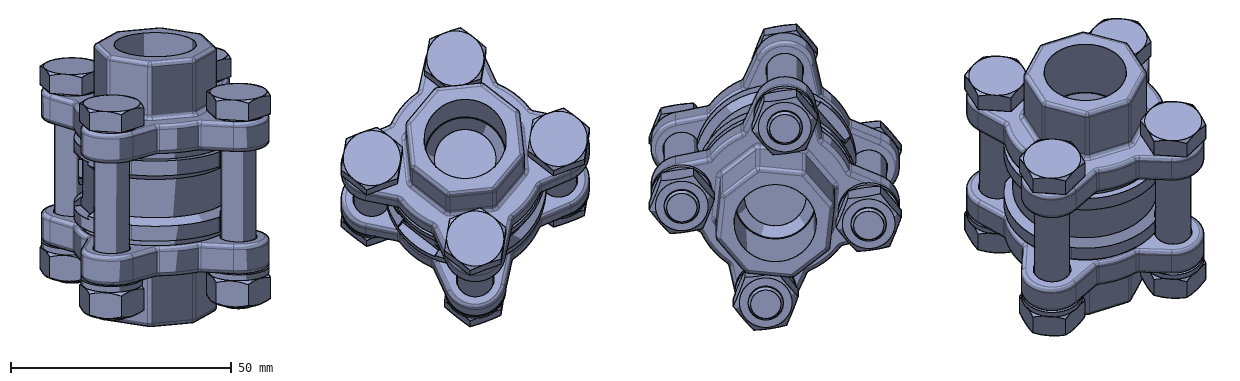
import cadquery as cq
import math


total_height = 63.0
octagon_flats = 25.95
octagon_edge_radius = 1.25
soft_edge = 1.0
plate_inner_z = 11.0
plate_thickness = 7.0
plate_outer_z = plate_inner_z + plate_thickness

disc_radius = 18.45
notch_offset = 5.0
lobe_radius = 7.0
bolt_spacing = 30.2
bolt_offset = bolt_spacing / 2

port_diameter = 18.65
port_depth = 15.0
port_cone_diameter = 18.3
port_floor_diameter = 14.0
port_cone_depth = 2.3

neck_diameter = 34.0
barrel_radius = 16.5
collar_radius = 18.45
collar_outer_z = 9.5
collar_inner_z = 6.0
barrel_half_height = 4.55
bolt_relief_diameter = 8.4
bolt_relief_edge_radius = 1.4
label_distance = 16.0
label_width = 10.8
label_height = 13.6

arrow_shaft_width = 2.0
arrow_head_width = 4.05
arrow_top_z = 3.6
arrow_shoulder_z = -0.6
arrow_tip_z = -2.65
arrow_relief = 1.0
arrow_angle = 27.5

shank_diameter = 8.0
plate_hole_diameter = 8.5
washer_hole_diameter = 8.4
hex_flats = 13.0
hex_slope = math.radians(30)
head_height = 4.8
head_face_diameter = 11.65
head_face_height = 0.55
washer_diameter = 14.0
washer_thickness = 1.4
nut_height = 6.7
nut_face_radius = 6.0
bolt_protrusion = 1.1
bolt_end_chamfer = 0.55

bolt_centres = [(x, y) for x in (-bolt_offset, bolt_offset) for y in (-bolt_offset, bolt_offset)]


def disc(diameter, z_low, z_high, centres=((0, 0),)):
    """Upright cylinder, or one at each of several centres."""
    plane = cq.Workplane("XY").workplane(offset=z_low)
    return plane.pushPoints(list(centres)).circle(diameter / 2).extrude(z_high - z_low)


def rotated(point, degrees):
    angle = math.radians(degrees)
    x, y = point
    return (
        x * math.cos(angle) - y * math.sin(angle),
        x * math.sin(angle) + y * math.cos(angle),
    )


def plate_outline(z):
    """Closed outline: disc arcs joined to the lobes by straight tangent flanks."""
    corner_before = (disc_radius * math.cos(math.asin(notch_offset / disc_radius)), -notch_offset)
    corner_after = (corner_before[0], notch_offset)

    dx = corner_after[0] - bolt_offset
    dy = corner_after[1] - bolt_offset
    touch_angle = math.atan2(dy, dx) + math.acos(lobe_radius / math.hypot(dx, dy))
    touch_x = bolt_offset + lobe_radius * math.cos(touch_angle)
    touch_y = bolt_offset + lobe_radius * math.sin(touch_angle)
    lobe_tip = bolt_offset + lobe_radius / math.sqrt(2)

    outline = cq.Workplane("XY").workplane(offset=z).moveTo(*corner_before)
    for turn in (0, 90, 180, 270):
        outline = (
            outline.threePointArc(rotated((disc_radius, 0), turn), rotated(corner_after, turn))
            .lineTo(*rotated((touch_x, touch_y), turn))
            .threePointArc(rotated((lobe_tip, lobe_tip), turn), rotated((touch_y, touch_x), turn))
        )
        if turn < 270:
            outline = outline.lineTo(*rotated(corner_before, turn + 90))
    return outline.close()


def make_end_piece():
    """Upper end piece: lobed plate, octagonal spigot and blind port."""
    plate = plate_outline(plate_inner_z).extrude(plate_thickness)
    notch_corners = cq.selectors.BoxSelector(
        (-disc_radius, -disc_radius, 0), (disc_radius, disc_radius, total_height)
    )
    notch_radius = math.hypot(disc_radius, 0.6)
    plate = plate.edges("|Z").edges(notch_corners).filter(
        lambda edge: math.hypot(edge.Center().x, edge.Center().y) < notch_radius
    ).fillet(soft_edge)
    plate = plate.faces("<Z or >Z").edges().fillet(soft_edge)

    top_z = total_height / 2
    octagon_corners = octagon_flats / math.cos(math.pi / 8)
    spigot = (
        cq.Workplane("XY", origin=(0, 0, plate_outer_z))
        .transformed(rotate=(0, 0, 22.5))
        .polygon(8, octagon_corners)
        .extrude(top_z - plate_outer_z)
        .edges("|Z")
        .fillet(octagon_edge_radius)
        .faces(">Z")
        .edges()
        .fillet(soft_edge)
    )
    piece = plate.union(spigot)
    root = cq.selectors.BoxSelector(
        (-disc_radius, -disc_radius, plate_outer_z - 0.05),
        (disc_radius, disc_radius, plate_outer_z + 0.05),
    )
    reach = octagon_corners / 2
    piece = piece.edges(root).filter(
        lambda edge: math.hypot(edge.Center().x, edge.Center().y) < reach
    ).fillet(soft_edge)

    port_floor_z = top_z - port_depth - port_cone_depth
    port = (
        cq.Workplane("XZ")
        .moveTo(0, port_floor_z)
        .lineTo(port_floor_diameter / 2, port_floor_z)
        .lineTo(port_cone_diameter / 2, top_z - port_depth)
        .lineTo(port_diameter / 2, top_z - port_depth)
        .lineTo(port_diameter / 2, top_z)
        .lineTo(0, top_z)
        .close()
        .revolve(360, (0, 0), (0, 1))
    )
    holes = disc(plate_hole_diameter, plate_inner_z, plate_outer_z, bolt_centres)
    return piece.cut(port).cut(holes)


def make_barrel():
    """Turned barrel with two collars, bolt reliefs, a flat label face and a flow arrow."""
    upper_profile = [
        (neck_diameter / 2, plate_inner_z),
        (neck_diameter / 2, collar_outer_z),
        (collar_radius, collar_outer_z),
        (collar_radius, collar_inner_z),
        (barrel_radius, barrel_half_height),
    ]
    lower_profile = [(radius, -z) for radius, z in reversed(upper_profile)]
    barrel = (
        cq.Workplane("XZ")
        .polyline([(0, plate_inner_z)] + upper_profile + lower_profile + [(0, -plate_inner_z)])
        .close()
        .revolve(360, (0, 0), (0, 1))
    )
    envelope = disc(2 * collar_radius, -plate_inner_z, plate_inner_z)
    envelope = envelope.cut(disc(bolt_relief_diameter, -plate_inner_z, plate_inner_z, bolt_centres))
    barrel = barrel.intersect(envelope.edges("|Z").fillet(bolt_relief_edge_radius))

    label_depth = collar_radius - label_distance
    label_pocket = cq.Workplane("XY").box(label_width, label_depth, label_height)
    barrel = barrel.cut(label_pocket.translate((0, -label_distance - label_depth / 2, 0)))
    return barrel.union(make_arrow())


def make_arrow():
    """Raised arrow on the barrel wall, pointing along the flow."""
    right_half = [
        (arrow_shaft_width / 2, arrow_top_z),
        (arrow_shaft_width / 2, arrow_shoulder_z),
        (arrow_head_width / 2, arrow_shoulder_z),
    ]
    left_half = [(-x, z) for x, z in reversed(right_half)]
    face_radius = barrel_radius + arrow_relief
    prism = (
        cq.Workplane("XZ", origin=(0, -label_distance, 0))
        .polyline(right_half + [(0, arrow_tip_z)] + left_half)
        .close()
        .extrude(face_radius - label_distance)
        .rotate((0, 0, 0), (0, 0, 1), -arrow_angle)
    )
    return prism.intersect(disc(2 * face_radius, arrow_tip_z, arrow_top_z))


def hexagon(z_low, z_high, face_radius, both_ends):
    """Hexagonal prism with corners along X, its corners turned off conically at the top or both ends."""
    corner_radius = hex_flats / math.sqrt(3)
    drop = (corner_radius - face_radius) * math.tan(hex_slope)
    prism = cq.Workplane("XY", origin=(0, 0, z_low)).polygon(6, 2 * corner_radius).extrude(z_high - z_low)
    if both_ends:
        lower_edge = [(face_radius, z_low), (corner_radius, z_low + drop)]
    else:
        lower_edge = [(corner_radius, z_low)]
    envelope = (
        cq.Workplane("XZ")
        .polyline([(0, z_low)] + lower_edge + [(corner_radius, z_high - drop), (face_radius, z_high), (0, z_high)])
        .close()
        .revolve(360, (0, 0), (0, 1))
    )
    return prism.intersect(envelope)


def make_fastener():
    """One bolt with its washer and nut, on the Z axis."""
    head_z = plate_outer_z + head_face_height
    washer_z = -plate_outer_z - washer_thickness
    nut_z = washer_z - nut_height
    end_z = nut_z - bolt_protrusion

    head = hexagon(head_z, head_z + head_height, hex_flats / 2, False)
    head_face = disc(head_face_diameter, plate_outer_z, head_z)
    shank = disc(shank_diameter, end_z, head_z).faces("<Z").chamfer(bolt_end_chamfer)
    washer = disc(washer_diameter, washer_z, -plate_outer_z)
    washer = washer.cut(disc(washer_hole_diameter, washer_z, -plate_outer_z))
    nut = hexagon(nut_z, washer_z, nut_face_radius, True)
    return head.union(head_face).union(shank).union(nut).union(washer)


end_piece = make_end_piece()
result = make_barrel().union(end_piece).union(end_piece.mirror("XY"))
fastener = make_fastener()
for x, y in bolt_centres:
    result = result.union(fastener.translate((x, y, 0)))